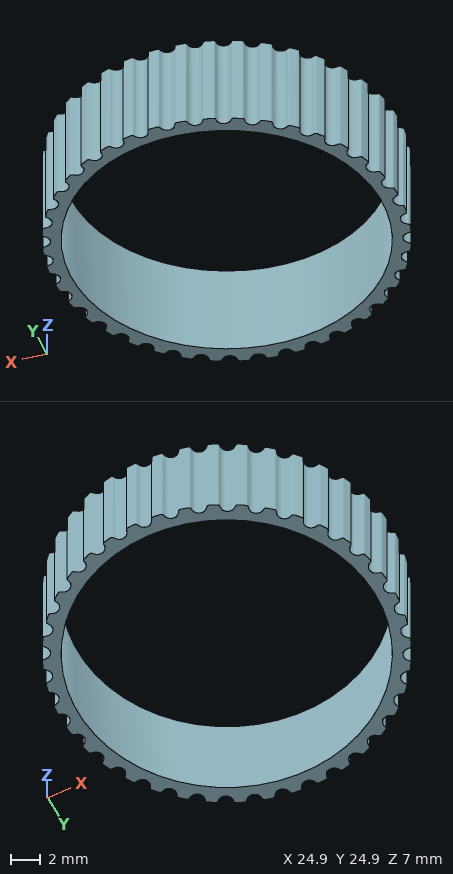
import cadquery as cq
import math

overall_width = 24.95
ring_height = 7.0
bore_diameter = 22.4
groove_count = 40
groove_radius = 0.52
groove_depth = 0.55
tip_radius = 0.15
tip_spacing = 1.37

half_width = overall_width / 2
pitch_angle = 2 * math.pi / groove_count

groove_bottom_y = half_width - groove_depth
groove_center_y = groove_bottom_y + groove_radius
tip_center_x = tip_spacing / 2
tip_center_y = half_width - tip_radius

land_radius = math.hypot(tip_center_x, tip_center_y) + tip_radius
land_start_angle = math.atan2(tip_center_x, tip_center_y)

center_distance = math.hypot(tip_center_x, tip_center_y - groove_center_y)
center_angle = math.atan2(tip_center_y - groove_center_y, tip_center_x)
flank_angle = center_angle - math.acos((groove_radius + tip_radius) / center_distance)


def groove_point(angle):
    """Point on the groove arc in the given direction from its centre."""
    return (
        groove_radius * math.cos(angle),
        groove_center_y + groove_radius * math.sin(angle),
    )


def tip_point(angle):
    """Point on the right-hand tip round in the given direction from its centre."""
    return (
        tip_center_x + tip_radius * math.cos(angle),
        tip_center_y + tip_radius * math.sin(angle),
    )


def mirrored(point):
    """The same point on the other side of the groove."""
    return (-point[0], point[1])


def turned(point, groove_index):
    """Turn a point of the first groove clockwise to the given groove."""
    x, y = point
    angle = groove_index * pitch_angle
    return (
        x * math.cos(angle) + y * math.sin(angle),
        y * math.cos(angle) - x * math.sin(angle),
    )


def rim_outline():
    """Closed outline of the grooved rim, made of tangent arcs and straight flanks."""
    tip_start_angle = flank_angle + math.pi
    tip_end_angle = math.pi / 2 - land_start_angle
    groove_bottom = (0, groove_bottom_y)
    flank_start = groove_point(flank_angle)
    flank_end = tip_point(tip_start_angle)
    tip_middle = tip_point((tip_start_angle + tip_end_angle) / 2)
    land_start = tip_point(tip_end_angle)
    land_middle = turned((0, land_radius), 0.5)

    outline = cq.Workplane("XY").moveTo(*mirrored(flank_start))
    for index in range(groove_count):
        following = index + 1
        outline = (
            outline.threePointArc(turned(groove_bottom, index), turned(flank_start, index))
            .lineTo(*turned(flank_end, index))
            .threePointArc(turned(tip_middle, index), turned(land_start, index))
            .threePointArc(turned(land_middle, index), turned(mirrored(land_start), following))
            .threePointArc(
                turned(mirrored(tip_middle), following),
                turned(mirrored(flank_end), following),
            )
            .lineTo(*turned(mirrored(flank_start), following))
        )
    return outline.close()


rim = rim_outline().extrude(ring_height)
bore = cq.Workplane("XY").circle(bore_diameter / 2).extrude(ring_height)
result = rim.cut(bore)